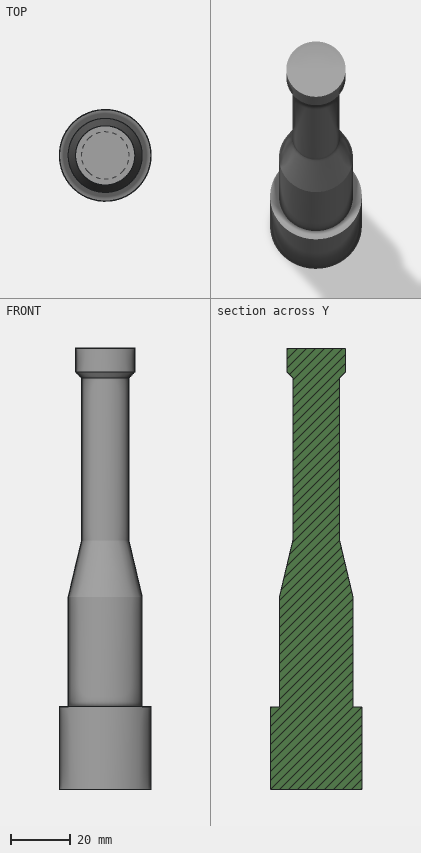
import cadquery as cq

total_height = 149.0
base_diameter = 31.0
base_height = 28.0
body_diameter = 25.0
body_height = 37.0
taper_height = 19.0
neck_diameter = 16.0
head_diameter = 20.0
head_height = 10.0
head_taper_height = 2.0

body_bottom_z = base_height
taper_bottom_z = body_bottom_z + body_height
neck_bottom_z = taper_bottom_z + taper_height
head_bottom_z = total_height - head_height
head_rim_z = head_bottom_z + head_taper_height


def make_pin():
    """Revolve the stepped half profile about the Z axis."""
    profile = (
        cq.Workplane("XZ")
        .moveTo(0, 0)
        .lineTo(base_diameter / 2, 0)
        .lineTo(base_diameter / 2, body_bottom_z)
        .lineTo(body_diameter / 2, body_bottom_z)
        .lineTo(body_diameter / 2, taper_bottom_z)
        .lineTo(neck_diameter / 2, neck_bottom_z)
        .lineTo(neck_diameter / 2, head_bottom_z)
        .lineTo(head_diameter / 2, head_rim_z)
        .lineTo(head_diameter / 2, total_height)
        .lineTo(0, total_height)
        .close()
    )
    return profile.revolve(360, (0, 0, 0), (0, 1, 0))


result = make_pin()